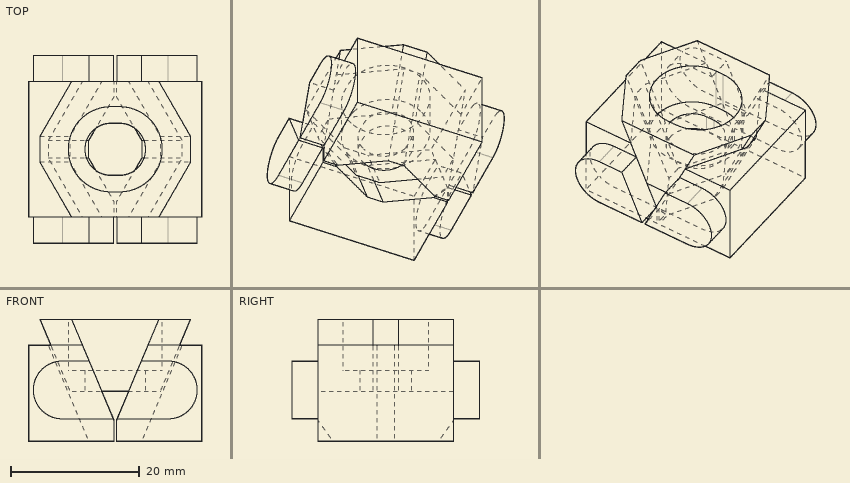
import cadquery as cq
import math

total_length = 29.3
total_width = 27.0
total_height = 19.02
body_length = 21.15
jaw_height = 15.0
jaw_gap = 0.35

trunnion_radius = 4.5
trunnion_center_x = 8.25
trunnion_center_z = 8.0

wedge_bottom_z = 7.8
wedge_end_half_width = 6.8
wedge_half_width = 11.75
facet_angle = 60.0
draft_angle = 20.0
flat_clearance = 0.38
lean = math.tan(math.radians(draft_angle)) / math.sin(math.radians(facet_angle))

slot_travel = 1.35
counterbore_diameter = 13.3
counterbore_depth = 7.97
screw_hole_diameter = 8.1

half_length = total_length / 2
body_half_length = body_length / 2


def flat_half_length(half_width):
    """Y of the corners where the slanted facets meet a flat at the given X."""
    run = half_width - wedge_end_half_width
    return body_half_length - run * math.tan(math.radians(facet_angle))


def ruled_solid(outline_at, z_low, z_high):
    """Straight-walled solid between the outlines at two heights."""
    wires = []
    for z in (z_low, z_high):
        points = [cq.Vector(x, y, z) for x, y in outline_at(z)]
        wires.append(cq.Wire.makePolygon(points, close=True))
    return cq.Workplane(cq.Solid.makeLoft(wires, True))


def wedge_outline(z):
    """Eight-cornered wedge section, narrowing downwards."""
    inset = lean * (total_height - z)
    flat_x = wedge_half_width - inset
    end_x = wedge_end_half_width - inset
    flat_y = flat_half_length(wedge_half_width)
    return [
        (-flat_x, -flat_y), (-end_x, -body_half_length),
        (end_x, -body_half_length), (flat_x, -flat_y),
        (flat_x, flat_y), (end_x, body_half_length),
        (-end_x, body_half_length), (-flat_x, flat_y),
    ]


def notch_outline(z):
    """Section of the space cut from the left jaw; it stays open towards +X."""
    inset = lean * (total_height - z)
    notch_half_width = wedge_half_width + flat_clearance
    flat_x = inset - notch_half_width
    end_x = inset - wedge_end_half_width
    flat_y = flat_half_length(notch_half_width)
    open_x = total_width / 2
    return [
        (flat_x, -flat_y), (end_x, -body_half_length), (end_x, -half_length),
        (open_x, -half_length), (open_x, half_length),
        (end_x, half_length), (end_x, body_half_length), (flat_x, flat_y),
    ]


def make_wedge():
    wedge = ruled_solid(wedge_outline, wedge_bottom_z, total_height)
    top = cq.Workplane("XY", origin=(0, 0, total_height))
    counterbore = (
        top.slot2D(slot_travel + counterbore_diameter, counterbore_diameter)
        .extrude(-counterbore_depth)
    )
    screw_hole = (
        top.slot2D(slot_travel + screw_hole_diameter, screw_hole_diameter)
        .extrude(wedge_bottom_z - total_height)
    )
    return wedge.cut(counterbore).cut(screw_hole)


def make_left_jaw():
    jaw_width = (total_width - jaw_gap) / 2
    block = (
        cq.Workplane("XY")
        .box(jaw_width, body_length, jaw_height, centered=(False, True, False))
        .translate((-total_width / 2, 0, 0))
    )
    trunnion_bar = (
        cq.Workplane("XZ")
        .moveTo(-jaw_gap / 2, trunnion_center_z + trunnion_radius)
        .lineTo(-trunnion_center_x, trunnion_center_z + trunnion_radius)
        .threePointArc(
            (-trunnion_center_x - trunnion_radius, trunnion_center_z),
            (-trunnion_center_x, trunnion_center_z - trunnion_radius),
        )
        .lineTo(-jaw_gap / 2, trunnion_center_z - trunnion_radius)
        .close()
        .extrude(half_length, both=True)
    )
    notch = ruled_solid(notch_outline, 0, total_height)
    return block.union(trunnion_bar).cut(notch)


wedge = make_wedge()
left_jaw = make_left_jaw()
jaws = [left_jaw.rotate((0, 0, 0), (0, 0, 1), angle) for angle in (0, 180)]

result = cq.Compound.makeCompound([body.solids().val() for body in (wedge, *jaws)])